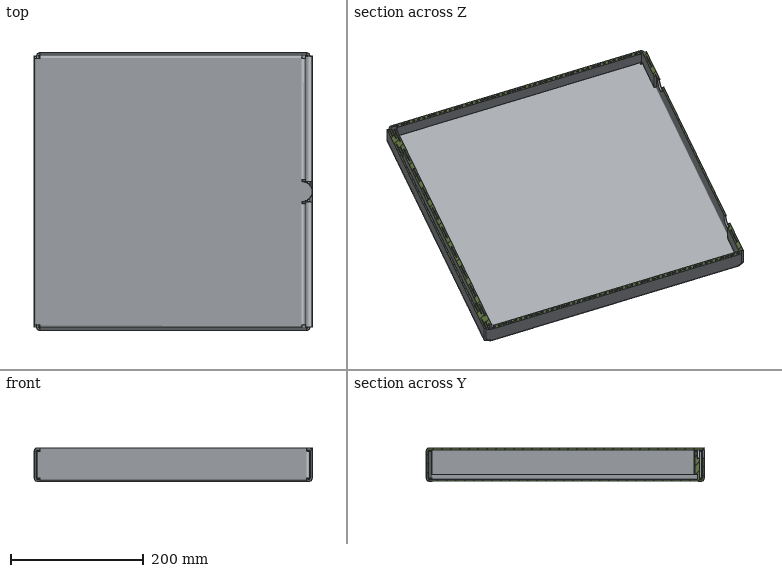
import cadquery as cq
import math

length = 419.5
width = 419.0
height = 50.7
sheet = 3.5
bend_radius = 5.0
clearance = 0.2

hole_diameter = 19.0
hole_spacing = 279.5
tab_radius = 15.0
notch_radius = 15.5
tab_relief = 3.0
side_flap_length = 50.5
lid_flap_drop = 35.5

inner_radius = bend_radius - sheet
hem_flat = sheet + 2 * clearance - 2 * inner_radius

half_length = length / 2
half_width = width / 2
fold_x = half_length - bend_radius
fold_y = half_width - bend_radius
low_fold_z = bend_radius
high_fold_z = height - bend_radius

flap_face_x = half_length - sheet - clearance
side_fold_x = flap_face_x - bend_radius

hem_fold_x = fold_x - hem_flat
hem_inner_x = hem_fold_x - bend_radius
lid_end_x = hem_inner_x - clearance
lid_side_y = half_width - sheet - clearance
lid_fold_x = lid_end_x - bend_radius
lid_fold_y = lid_side_y - bend_radius
flap_bottom_z = high_fold_z - lid_flap_drop


def panel(x_range, y_range, z_range):
    """Flat rectangular sheet given by its limits along each axis."""
    (x0, x1), (y0, y1), (z0, z1) = x_range, y_range, z_range
    return cq.Workplane("XY").box(x1 - x0, y1 - y0, z1 - z0, centered=False).translate((x0, y0, z0))


def fold(plane_name, axis_start, axis_length, side_u, side_v):
    """Quarter-round fold; side_u and side_v (+1 or -1) pick its quadrant in the plane."""
    plane = cq.Plane.named(plane_name, axis_start)
    diagonal = math.sqrt(0.5)
    return (
        cq.Workplane(plane)
        .moveTo(side_u * bend_radius, 0)
        .threePointArc(
            (side_u * bend_radius * diagonal, side_v * bend_radius * diagonal),
            (0, side_v * bend_radius),
        )
        .lineTo(0, side_v * inner_radius)
        .threePointArc(
            (side_u * inner_radius * diagonal, side_v * inner_radius * diagonal),
            (side_u * inner_radius, 0),
        )
        .close()
        .extrude(axis_length)
    )


def fold_along_y(x, z, y_range, side_x, side_z):
    y0, y1 = y_range
    return fold("XZ", (x, y1, z), y1 - y0, side_x, side_z)


def fold_along_x(y, z, x_range, side_y, side_z):
    x0, x1 = x_range
    return fold("YZ", (x0, y, z), x1 - x0, side_y, side_z)


def fold_along_z(x, y, z_range, side_x, side_y):
    z0, z1 = z_range
    return fold("XY", (x, y, z0), z1 - z0, side_x, side_y)


def with_mirror(parts):
    """The given parts together with their copies on the -Y side."""
    return parts + [part.mirror("XZ") for part in parts]


wall_y = (-fold_y, fold_y)
wall_z = (low_fold_z, high_fold_z)
lid_y = (-lid_fold_y, lid_fold_y)
top_z = (height - sheet, height)


def floor_and_back_wall():
    """Floor and the plain -X wall, joined by a fold."""
    return [
        panel((-fold_x, fold_x), wall_y, (0, sheet)),
        fold_along_y(-fold_x, low_fold_z, wall_y, -1, -1),
        panel((-half_length, -half_length + sheet), wall_y, wall_z),
    ]


def doubled_front_wall():
    """+X wall, turned over at the top and running back down to just above the floor."""
    parts = [
        fold_along_y(fold_x, low_fold_z, wall_y, 1, -1),
        panel((half_length - sheet, half_length), wall_y, wall_z),
        fold_along_y(fold_x, high_fold_z, wall_y, 1, 1),
        panel((hem_fold_x, fold_x), wall_y, top_z),
        fold_along_y(hem_fold_x, high_fold_z, wall_y, -1, 1),
        panel((hem_inner_x, hem_inner_x + sheet), lid_y, (sheet + clearance, high_fold_z)),
    ]
    notch = (
        cq.Workplane("YZ", origin=(hem_inner_x, 0, height))
        .circle(notch_radius)
        .extrude(half_length - hem_inner_x)
    )
    return [part.cut(notch) for part in parts]


def side_wall():
    """+Y wall with a flap folded behind each X wall."""
    span = (-side_fold_x, side_fold_x)
    parts = [
        fold_along_x(fold_y, low_fold_z, span, 1, -1),
        panel(span, (half_width - sheet, half_width), (low_fold_z, height)),
    ]
    for side in (-1, 1):
        flap_x = sorted((side * flap_face_x, side * (flap_face_x - sheet)))
        parts.append(fold_along_z(side * side_fold_x, fold_y, wall_z, side, 1))
        parts.append(panel(flap_x, (fold_y - side_flap_length, fold_y), wall_z))
    return parts


def lid():
    """Lid sheet with its fold to the -X wall, its front flap and the round tab."""
    tab = (
        cq.Workplane("XY", origin=(half_length - tab_radius, 0, height - sheet))
        .circle(tab_radius)
        .extrude(sheet)
    )
    return [
        fold_along_y(-fold_x, high_fold_z, lid_y, -1, 1),
        panel((-fold_x, lid_fold_x), lid_y, top_z),
        panel((lid_end_x - sheet, lid_end_x), lid_y, (flap_bottom_z, high_fold_z)),
        tab,
    ]


def lid_edge_folds():
    """Folded lid edges on the +Y half: the side flap and the front edge up to the tab."""
    flap_x = (-side_fold_x, lid_fold_x)
    front_y = (tab_radius + tab_relief, lid_fold_y)
    return [
        fold_along_x(lid_fold_y, high_fold_z, flap_x, 1, 1),
        panel(flap_x, (lid_side_y - sheet, lid_side_y), (flap_bottom_z, high_fold_z)),
        fold_along_y(lid_fold_x, high_fold_z, front_y, 1, 1),
    ]


parts = floor_and_back_wall() + doubled_front_wall() + lid()
parts += with_mirror(side_wall() + lid_edge_folds())

box = parts[0]
for part in parts[1:]:
    box = box.union(part)

holes = (
    cq.Workplane("YZ", origin=(-half_length, 0, height / 2))
    .pushPoints([(-hole_spacing / 2, 0), (hole_spacing / 2, 0)])
    .circle(hole_diameter / 2)
    .extrude(sheet)
)
result = box.cut(holes)